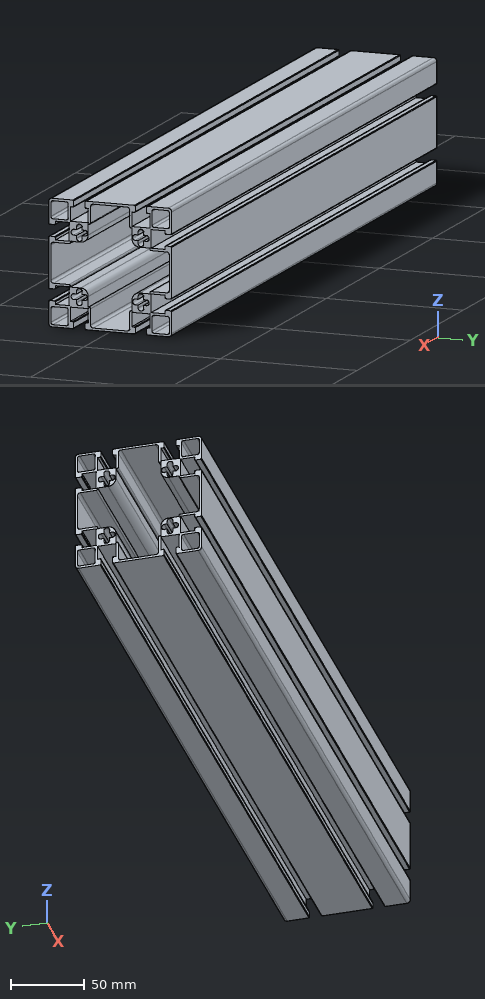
import cadquery as cq

length = 500
width = 90
half = width / 2
corner_radius = 2.5

wall = 1.7

slot_center = width / 4
mouth_half = 4.1
slot_half = 6.5
lip_depth = 5
lip_radius = 0.5
slot_depth = 15
slot_near = slot_center - slot_half
slot_far = slot_center + slot_half

box_inner = slot_near - wall
box_radius = 1.5

core_far = slot_far
core_radius = 5.5
cross_span = 12.0
cross_width = 4.0

chamber_edge = slot_far + wall
chamber_radius = 2.0
web_end = 16.0
web_radius = 1.0


def square_bar(near, far):
    """Full-length bar whose square section lies on the corner diagonal."""
    side = far - near
    return cq.Workplane("YZ").center(near, near).rect(side, side, centered=False).extrude(length)


def mirror_diagonal(shape):
    """Swap Y and Z."""
    return shape.mirror("XY").rotate((0, 0, 0), (1, 0, 0), 90)


def slot():
    """T-slot opening through the lower face, its lips rounded at both edges."""
    mouth_near = slot_center - mouth_half
    mouth_far = slot_center + mouth_half
    return (
        cq.Workplane("YZ")
        .moveTo(mouth_near - lip_radius, 0)
        .lineTo(mouth_far + lip_radius, 0)
        .radiusArc((mouth_far, lip_radius), -lip_radius)
        .lineTo(mouth_far, lip_depth - lip_radius)
        .radiusArc((mouth_far + lip_radius, lip_depth), -lip_radius)
        .lineTo(slot_far, lip_depth)
        .lineTo(slot_far, slot_depth)
        .lineTo(slot_near, slot_depth)
        .lineTo(slot_near, lip_depth)
        .lineTo(mouth_near - lip_radius, lip_depth)
        .radiusArc((mouth_near, lip_depth - lip_radius), -lip_radius)
        .lineTo(mouth_near, lip_radius)
        .radiusArc((mouth_near - lip_radius, 0), -lip_radius)
        .close()
        .extrude(length)
    )


def cross_hole():
    """Two crossed round-ended slots along the screw core."""
    flat_slot = (
        cq.Workplane("YZ")
        .center(slot_center, slot_center)
        .slot2D(cross_span, cross_width)
        .extrude(length)
    )
    return flat_slot.union(mirror_diagonal(flat_slot))


def chamber():
    """Quarter of the middle chamber, wrapping around the screw core."""
    void = (
        cq.Workplane("YZ")
        .moveTo(half, half)
        .lineTo(half, wall)
        .lineTo(chamber_edge, wall)
        .lineTo(chamber_edge, web_end)
        .lineTo(core_far, web_end)
        .lineTo(core_far, core_far - core_radius)
        .radiusArc((core_far - core_radius, core_far), -core_radius)
        .lineTo(web_end, core_far)
        .lineTo(web_end, chamber_edge)
        .lineTo(wall, chamber_edge)
        .lineTo(wall, half)
        .close()
        .extrude(length)
    )
    for depth, radius in ((wall, chamber_radius), (web_end, web_radius)):
        for y, z in ((chamber_edge, depth), (depth, chamber_edge)):
            lengthwise_edge = cq.selectors.NearestToPointSelector((length / 2, y, z))
            void = void.edges(lengthwise_edge).fillet(radius)
    return void


def quarter():
    """Lower -Y quarter of the profile, placed about the part's centre."""
    body = square_bar(0, half).edges("|X").edges("<Y").edges("<Z").fillet(corner_radius)
    corner_box = square_bar(wall, box_inner).edges("|X").fillet(box_radius)
    lower_slot = slot()
    return (
        body
        .cut(corner_box)
        .cut(lower_slot)
        .cut(mirror_diagonal(lower_slot))
        .cut(cross_hole())
        .cut(chamber())
        .translate((-length / 2, -half, -half))
    )


lower_corner = quarter()
lower_half = lower_corner.union(lower_corner.mirror("XZ"))
result = lower_half.union(lower_half.mirror("XY")).clean()